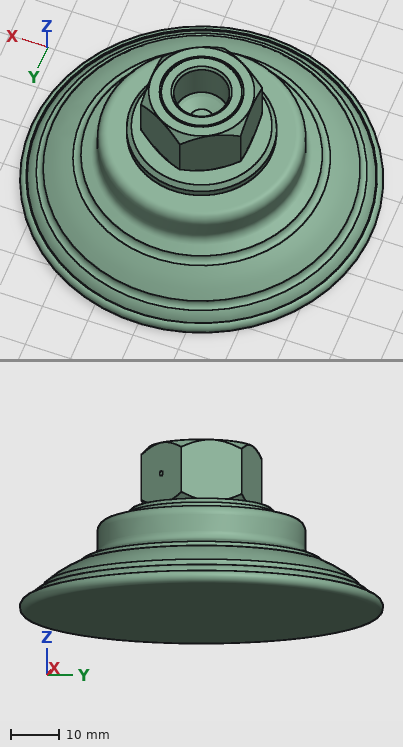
import cadquery as cq
import math

CUP_DIAMETER = 75.0
TOTAL_HEIGHT = 34.5

CUP_HEIGHT = 19.05
DISC_THICKNESS = 2.5
DISC_TOP = CUP_HEIGHT + DISC_THICKNESS
NUT_HEIGHT = TOTAL_HEIGHT - DISC_TOP

COLLAR_RADIUS = 43.0 / 2
COLLAR_FILLET = 2.0
SHOULDER_ANGLE = 23.0
SHOULDER_FILLET = 2.0
SHOULDER_EDGE_RADIUS = 24.9
SHOULDER_EDGE_Z = 10.65

SKIRT_TOP_RADIUS = 26.55
SKIRT_TOP_Z = 9.5
SKIRT_EDGE_RADIUS = 32.7
SKIRT_EDGE_Z = 5.55
SKIRT_BULGE = 0.26
LOWER_SKIRT_TOP_RADIUS = 34.1
LOWER_SKIRT_TOP_Z = 4.2
LOWER_SKIRT_BULGE = 0.2

RIM_ROUND = 1.3
RIM_HEIGHT = 2 * RIM_ROUND
RIM_GROOVE = 0.2

DISC_DIAMETER = 31.0
DISC_CHAMFER = 1.0

NUT_ACROSS_FLATS = 22.0
NUT_ACROSS_CORNERS = NUT_ACROSS_FLATS / math.cos(math.radians(30))
NUT_FACE_DIAMETER = 21.8
NUT_CORNER_CHAMFER = (NUT_ACROSS_CORNERS - NUT_FACE_DIAMETER) / 2
NUT_BORE_CHAMFER = 0.4
VENT_DIAMETER = 1.0
VENT_ANGLE = -60.0
VENT_Z = DISC_TOP + NUT_HEIGHT / 2

INSERT_DIAMETER = 16.65
SOCKET_DIAMETER = 11.5
SOCKET_CHAMFER = 0.5
SOCKET_DEPTH = 9.0
SEAT_DIAMETER = 10.0
CONE_END_DIAMETER = 5.0
SEAT_ANGLE = 30.0
CONE_ANGLE = 23.0


def bulged_midpoint(start, end, bulge):
    """Middle point of an arc from start to end that bulges outward and up."""
    run = end[0] - start[0]
    drop = start[1] - end[1]
    chord = math.hypot(run, drop)
    return (
        (start[0] + end[0]) / 2 + bulge * drop / chord,
        (start[1] + end[1]) / 2 + bulge * run / chord,
    )


def hollow_midpoint(start, end):
    """Middle point of a concave quarter round that leaves start downward and reaches end outward."""
    diagonal = math.sqrt(0.5)
    return (
        end[0] - (end[0] - start[0]) * diagonal,
        start[1] - (start[1] - end[1]) * diagonal,
    )


def make_cup():
    rim_radius = CUP_DIAMETER / 2
    slope = math.tan(math.radians(SHOULDER_ANGLE))
    collar_foot_z = SHOULDER_EDGE_Z + (SHOULDER_EDGE_RADIUS - COLLAR_RADIUS) * slope

    turn = math.radians(90 - SHOULDER_ANGLE)
    tangent_length = SHOULDER_FILLET * math.tan(turn / 2)
    round_start = (COLLAR_RADIUS, collar_foot_z + tangent_length)
    round_middle = (
        COLLAR_RADIUS + SHOULDER_FILLET * (1 - math.cos(turn / 2)),
        round_start[1] - SHOULDER_FILLET * math.sin(turn / 2),
    )
    round_end = (
        COLLAR_RADIUS + SHOULDER_FILLET * (1 - math.cos(turn)),
        round_start[1] - SHOULDER_FILLET * math.sin(turn),
    )

    shoulder_edge = (SHOULDER_EDGE_RADIUS, SHOULDER_EDGE_Z)
    skirt_top = (SKIRT_TOP_RADIUS, SKIRT_TOP_Z)
    skirt_edge = (SKIRT_EDGE_RADIUS, SKIRT_EDGE_Z)
    lower_skirt_top = (LOWER_SKIRT_TOP_RADIUS, LOWER_SKIRT_TOP_Z)
    rim_centre_radius = rim_radius - RIM_ROUND
    lower_skirt_end = (rim_centre_radius - RIM_GROOVE, RIM_HEIGHT - RIM_GROOVE)

    profile = (
        cq.Workplane("XZ")
        .moveTo(0, CUP_HEIGHT)
        .lineTo(COLLAR_RADIUS - COLLAR_FILLET, CUP_HEIGHT)
        .radiusArc((COLLAR_RADIUS, CUP_HEIGHT - COLLAR_FILLET), COLLAR_FILLET)
        .lineTo(*round_start)
        .threePointArc(round_middle, round_end)
        .lineTo(*shoulder_edge)
        .threePointArc(hollow_midpoint(shoulder_edge, skirt_top), skirt_top)
        .threePointArc(bulged_midpoint(skirt_top, skirt_edge, SKIRT_BULGE), skirt_edge)
        .threePointArc(hollow_midpoint(skirt_edge, lower_skirt_top), lower_skirt_top)
        .threePointArc(bulged_midpoint(lower_skirt_top, lower_skirt_end, LOWER_SKIRT_BULGE), lower_skirt_end)
        .lineTo(rim_centre_radius, RIM_HEIGHT)
        .threePointArc((rim_radius, RIM_ROUND), (rim_centre_radius, 0))
        .lineTo(0, 0)
        .close()
    )
    return profile.revolve(360, (0, 0, 0), (0, 1, 0))


def make_disc():
    disc = cq.Workplane("XY").workplane(offset=CUP_HEIGHT).circle(DISC_DIAMETER / 2).extrude(DISC_THICKNESS)
    return disc.faces(">Z").edges().chamfer(DISC_CHAMFER)


def make_nut():
    base = cq.Workplane("XY").workplane(offset=DISC_TOP)
    hexagon = base.polygon(6, NUT_ACROSS_CORNERS).extrude(NUT_HEIGHT).rotate((0, 0, 0), (0, 0, 1), 30)
    corner_envelope = base.circle(NUT_ACROSS_CORNERS / 2).extrude(NUT_HEIGHT)
    corner_envelope = corner_envelope.faces("<Z or >Z").edges().chamfer(NUT_CORNER_CHAMFER)
    nut = hexagon.intersect(corner_envelope)

    nut = nut.cut(base.circle(INSERT_DIAMETER / 2).extrude(NUT_HEIGHT))
    nut = nut.faces(">Z").edges("%CIRCLE").edges(cq.selectors.RadiusNthSelector(0)).chamfer(NUT_BORE_CHAMFER)

    vent = cq.Workplane("YZ").center(0, VENT_Z).circle(VENT_DIAMETER / 2).extrude(NUT_ACROSS_FLATS)
    return nut.cut(vent.rotate((0, 0, 0), (0, 0, 1), VENT_ANGLE))


def make_insert():
    socket_radius = SOCKET_DIAMETER / 2
    seat_radius = SEAT_DIAMETER / 2
    cone_end_radius = CONE_END_DIAMETER / 2
    socket_end_z = TOTAL_HEIGHT - SOCKET_DEPTH
    seat_z = socket_end_z - (socket_radius - seat_radius) * math.tan(math.radians(SEAT_ANGLE))
    floor_z = seat_z - (seat_radius - cone_end_radius) * math.tan(math.radians(CONE_ANGLE))
    profile = (
        cq.Workplane("XZ")
        .moveTo(0, DISC_TOP)
        .lineTo(INSERT_DIAMETER / 2, DISC_TOP)
        .lineTo(INSERT_DIAMETER / 2, TOTAL_HEIGHT)
        .lineTo(socket_radius + SOCKET_CHAMFER, TOTAL_HEIGHT)
        .lineTo(socket_radius, TOTAL_HEIGHT - SOCKET_CHAMFER)
        .lineTo(socket_radius, socket_end_z)
        .lineTo(seat_radius, seat_z)
        .lineTo(cone_end_radius, floor_z)
        .lineTo(0, floor_z)
        .close()
    )
    return profile.revolve(360, (0, 0, 0), (0, 1, 0))


cup = make_cup()
disc = make_disc()
nut = make_nut()
insert = make_insert()

result = cq.Compound.makeCompound([cup.val(), disc.val(), nut.val(), insert.val()])